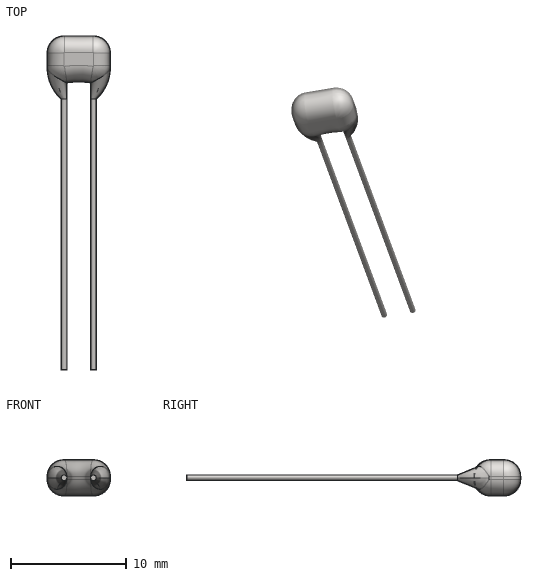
import cadquery as cq
import math

BODY_WIDTH = 5.5
BODY_THICKNESS = 3.15
TOTAL_LENGTH = 29.0

LEAD_PITCH = 2.54
LEAD_DIAMETER = 0.5

HOUSING_LENGTH = 5.5
CAPSULE_LENGTH = 4.6
HOLLOW_DEPTH = 0.6
CORNER_RADIUS = 1.5
RIM_RADIUS = 1.45

NECK_OUTER_HEIGHT = 2.75
NECK_INNER_HEIGHT = 1.6
NECK_BASE_RADIUS = 1.12
NECK_SECTIONS = 5

half_width = BODY_WIDTH / 2
lead_x = LEAD_PITCH / 2
lead_radius = LEAD_DIAMETER / 2
lead_length = TOTAL_LENGTH - HOUSING_LENGTH
capsule_bottom = HOUSING_LENGTH - CAPSULE_LENGTH

neck_inner_x = lead_x - lead_radius
neck_inset = half_width - (lead_x + lead_radius)
neck_arc_radius = (neck_inset**2 + NECK_OUTER_HEIGHT**2) / (2 * neck_inset)
neck_arc_center_x = half_width - neck_arc_radius


def make_capsule():
    """Block with a concave lower side and every edge rounded."""
    return (
        cq.Workplane("XY")
        .workplane(offset=-BODY_THICKNESS / 2)
        .moveTo(-half_width, capsule_bottom)
        .threePointArc((0, capsule_bottom + HOLLOW_DEPTH), (half_width, capsule_bottom))
        .lineTo(half_width, HOUSING_LENGTH)
        .lineTo(-half_width, HOUSING_LENGTH)
        .close()
        .extrude(BODY_THICKNESS)
        .edges("|Z")
        .fillet(CORNER_RADIUS)
        .faces("<Z or >Z")
        .edges()
        .fillet(RIM_RADIUS)
    )


def neck_section(fraction):
    """Elliptical wire across the +X neck, from the tip (fraction 0) to the tilted base (fraction 1)."""
    outer_y = NECK_OUTER_HEIGHT * fraction
    drop = NECK_OUTER_HEIGHT - outer_y
    outer_x = neck_arc_center_x + math.sqrt(neck_arc_radius**2 - drop**2)
    outer = cq.Vector(outer_x, outer_y, 0)
    inner = cq.Vector(neck_inner_x, NECK_INNER_HEIGHT * fraction, 0)

    center = (outer + inner) * 0.5
    outward = outer - center
    half_height = lead_radius + (NECK_BASE_RADIUS - lead_radius) * fraction
    plane = cq.Plane(origin=center, xDir=outward, normal=cq.Vector(0, 0, 1).cross(outward))
    return cq.Workplane(plane).ellipse(outward.Length, half_height).wire().val()


def make_neck():
    """Neck on the +X side, smooth through evenly spaced sections."""
    sections = [neck_section(i / (NECK_SECTIONS - 1)) for i in range(NECK_SECTIONS)]
    return cq.Workplane(cq.Solid.makeLoft(sections))


def make_housing():
    """Capsule with a neck on each side, as one solid."""
    neck = make_neck()
    return make_capsule().union(neck).union(neck.mirror("YZ"))


def make_lead(side):
    """Straight round wire running along -Y from the tip of a neck."""
    return cq.Workplane("XZ").center(side * lead_x, 0).circle(lead_radius).extrude(lead_length)


housing = make_housing()
leads = [make_lead(side) for side in (-1, 1)]

result = cq.Compound.makeCompound([housing.val(), *[lead.val() for lead in leads]])